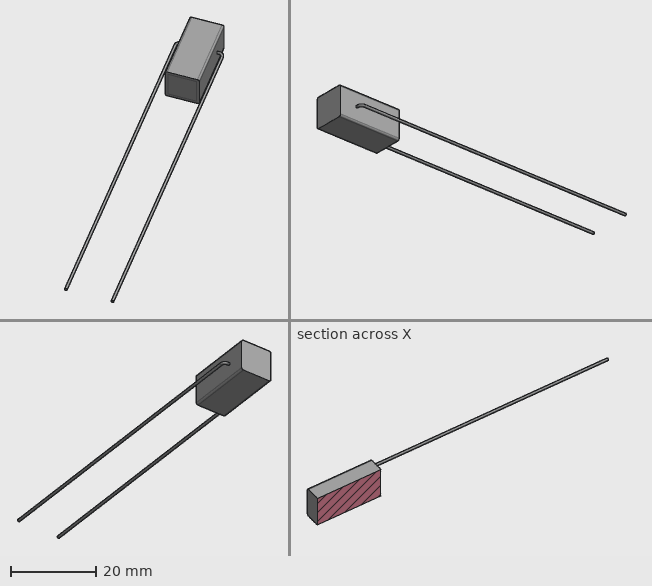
import cadquery as cq

case_side = 8.5
case_length = 18.0
case_edge_radius = 0.5

case_wall = 0.75
potting_depth = 17.0
potting_side = case_side - 2 * case_wall

lead_diameter = 0.7
overall_width = 12.23
lead_spacing = overall_width - lead_diameter
overall_length = 86.13
lead_exit_from_back = 5.0
bend_radius = 1.0
lead_embed = 0.5

case_front_y = -case_length
lead_exit_y = -lead_exit_from_back
lead_tip_y = -overall_length


def make_case():
    block = cq.Workplane("XY").box(case_side, case_length, case_side)
    rounded = block.edges("|Y").fillet(case_edge_radius)
    return rounded.translate((0, -case_length / 2, 0))


def make_potting():
    block = cq.Workplane("XY").box(potting_side, potting_depth, potting_side)
    return block.translate((0, case_front_y + potting_depth / 2, 0))


def make_right_lead():
    start_x = case_side / 2 - lead_embed
    run_x = lead_spacing / 2
    path = (
        cq.Workplane("XY")
        .moveTo(start_x, lead_exit_y)
        .lineTo(run_x - bend_radius, lead_exit_y)
        .tangentArcPoint((run_x, lead_exit_y - bend_radius), relative=False)
        .lineTo(run_x, lead_tip_y)
    )
    section = cq.Workplane("YZ", origin=(start_x, lead_exit_y, 0)).circle(lead_diameter / 2)
    return section.sweep(path)


case = make_case()
potting = make_potting()
right_lead = make_right_lead()
left_lead = right_lead.mirror("YZ")

body = case.cut(potting).union(potting, clean=False)
result = body.union(right_lead, clean=False).union(left_lead, clean=False)